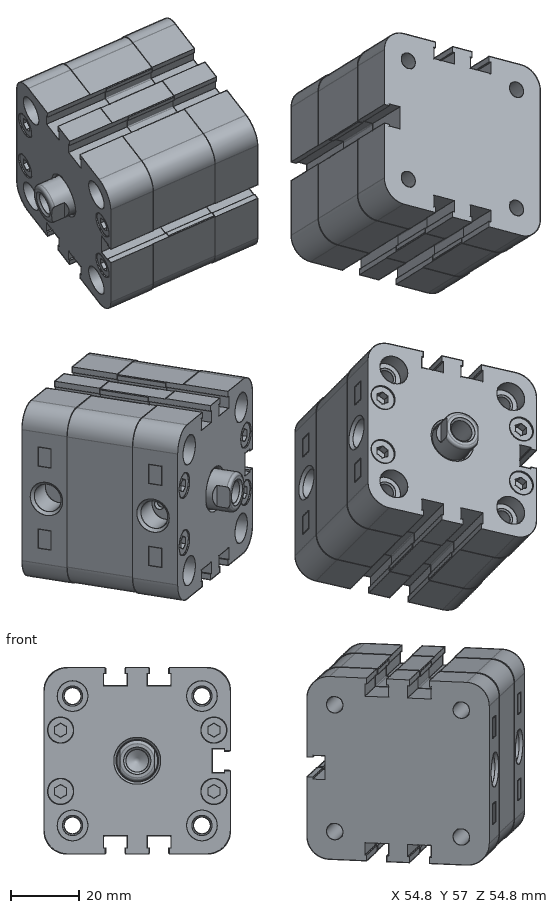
import cadquery as cq
import math

BODY_LENGTH = 50.0
CAP_SIDE = 54.8
CAP_LENGTH = 14.5
TUBE_INSET = 0.15
CORNER_RADIUS = 6.8
TUBE_LENGTH = BODY_LENGTH - 2 * CAP_LENGTH
HALF_SIDE = CAP_SIDE / 2
OVERCUT = 1.0

SLOT_DEPTH = 5.45
SLOT_CAVITY_WIDTH = 7.1
SLOT_LIP = 1.8
SLOT_MOUTH_WIDTH = 6.0
SLOT_OFFSET = 6.4
NARROW_INSET = 0.1
NARROW_MOUTH_WIDTH = 5.5
NARROW_MOUTH_CHAMFER = 0.25
NARROW_CORNER_RADIUS = 0.3
NARROW_LENGTH = 15.6

MOUNT_OFFSET = 19.0
MOUNT_DIAMETER = 4.92
MOUNT_BORE_DIAMETER = 9.0
MOUNT_BORE_DEPTH = 5.0
MOUNT_CHAMFER = 0.5

SCREW_X = 22.5
SCREW_Z = 9.0
SCREW_BORE_DIAMETER = 7.7
SCREW_HEAD_DIAMETER = 7.5
SCREW_HEAD_RECESS = 0.4
SCREW_HEAD_HEIGHT = 4.0
SOCKET_FLATS = 3.5
SOCKET_DEPTH = 2.5
HEXAGON_SIDES = 6
HEXAGON_HALF_ANGLE = 180 / HEXAGON_SIDES

ROD_DIAMETER = 12.0
ROD_PROJECTION = 7.0
ROD_TIP_FILLET = 1.0
ROD_FLATS = 10.0
ROD_FLAT_LENGTH = 4.3
ROD_THREAD_DIAMETER = 6.65
ROD_THREAD_MOUTH = 8.0
ROD_THREAD_DEPTH = 12.0
DRILL_POINT_ANGLE = 118.0
ROD_BORE_DIAMETER = 12.5
ROD_BORE_MOUTH = 13.8
ROD_BORE_DEPTH = 4.0

PORT_INSET = 7.9
PORT_DIAMETER = 8.57
PORT_MOUTH = 10.4
PORT_DEPTH = 9.0
PORT_PASSAGE_DIAMETER = 3.0
PORT_PASSAGE_SHIFT = 2.0
PORT_PASSAGE_DEPTH = 2.0

LABEL_INSET = 7.25
LABEL_LENGTH = 4.1
LABEL_HEIGHT = 6.0
LABEL_Z = 12.9
LABEL_DEPTH = 0.2


def rounded_block(side, y_start, length):
    """Square block with rounded corners, running along +Y from y_start."""
    block = cq.Workplane("XY").box(side, length, side).edges("|Y").fillet(CORNER_RADIUS)
    return block.translate((0, y_start + length / 2, 0))


def y_cylinder(diameter, y_start, length, x=0.0, z=0.0):
    """Cylinder along +Y starting at y_start."""
    base = cq.Vector(x, y_start, z)
    return cq.Workplane(cq.Solid.makeCylinder(diameter / 2, length, base, cq.Vector(0, 1, 0)))


def y_cone(start_diameter, end_diameter, y_start, length, x=0.0, z=0.0):
    """Cone along +Y that changes from start_diameter to end_diameter."""
    base = cq.Vector(x, y_start, z)
    return cq.Workplane(
        cq.Solid.makeCone(start_diameter / 2, end_diameter / 2, length, base, cq.Vector(0, 1, 0))
    )


def slot_box(width, z_bottom, z_top, y_start, length):
    """Box centred on X = 0 that spans the given heights and stretch of Y."""
    box = cq.Workplane("XY").box(width, length, z_top - z_bottom)
    return box.translate((0, y_start + length / 2, (z_bottom + z_top) / 2))


def wide_slot(y_start, length):
    """T-slot cutter open toward +Z."""
    floor_z = HALF_SIDE - SLOT_DEPTH
    cavity = slot_box(SLOT_CAVITY_WIDTH, floor_z, HALF_SIDE - SLOT_LIP, y_start, length)
    return cavity.union(slot_box(SLOT_MOUTH_WIDTH, floor_z, HALF_SIDE + OVERCUT, y_start, length))


def narrow_slot(y_start, length):
    """Slightly tighter T-slot cutter with chamfered lips and rounded floor corners."""
    floor_z = HALF_SIDE - SLOT_DEPTH + NARROW_INSET
    cavity_width = SLOT_CAVITY_WIDTH - 2 * NARROW_INSET
    cavity = slot_box(cavity_width, floor_z, HALF_SIDE - SLOT_LIP, y_start, length)
    cavity = cavity.faces("<Z").edges("|Y").fillet(NARROW_CORNER_RADIUS)
    tube_top = HALF_SIDE - TUBE_INSET
    mouth = slot_box(NARROW_MOUTH_WIDTH, floor_z, tube_top, y_start, length)
    half_mouth = NARROW_MOUTH_WIDTH / 2
    lip_bevel = (
        cq.Workplane("XZ", origin=(0, y_start, 0))
        .moveTo(-half_mouth, tube_top - NARROW_MOUTH_CHAMFER)
        .lineTo(half_mouth, tube_top - NARROW_MOUTH_CHAMFER)
        .lineTo(half_mouth + NARROW_MOUTH_CHAMFER, tube_top)
        .lineTo(-half_mouth - NARROW_MOUTH_CHAMFER, tube_top)
        .close()
        .extrude(-length)
    )
    return cavity.union(mouth).union(lip_bevel)


def slot_cutter():
    """Full-length T-slot that tightens over the rear part of the tube."""
    narrow_end = BODY_LENGTH - CAP_LENGTH
    narrow_start = narrow_end - NARROW_LENGTH
    front = wide_slot(-OVERCUT, narrow_start + OVERCUT)
    rear = wide_slot(narrow_end, CAP_LENGTH + OVERCUT)
    return front.union(narrow_slot(narrow_start, NARROW_LENGTH)).union(rear)


def cut_slots(body):
    """Two slots on the top, two on the bottom and one on the +X side."""
    slot = slot_cutter()
    pair = (-SLOT_OFFSET, SLOT_OFFSET)
    for turn, offsets in ((0, pair), (90, (0,)), (180, pair)):
        for offset in offsets:
            body = body.cut(slot.translate((offset, 0, 0)).rotate((0, 0, 0), (0, 1, 0), turn))
    return body


def cut_mounting_holes(body):
    """Counterbored through holes near the four corners."""
    chamfer_mouth = MOUNT_DIAMETER + 2 * MOUNT_CHAMFER
    for x in (-MOUNT_OFFSET, MOUNT_OFFSET):
        for z in (-MOUNT_OFFSET, MOUNT_OFFSET):
            body = body.cut(y_cylinder(MOUNT_DIAMETER, 0, BODY_LENGTH, x, z))
            body = body.cut(y_cylinder(MOUNT_BORE_DIAMETER, 0, MOUNT_BORE_DEPTH, x, z))
            body = body.cut(
                y_cone(chamfer_mouth, MOUNT_DIAMETER, MOUNT_BORE_DEPTH, MOUNT_CHAMFER, x, z)
            )
    return body


def cut_screws(body):
    """Bore around each screw head, leaving the head below the face, and its hexagon socket."""
    corner_diameter = SOCKET_FLATS / math.cos(math.radians(HEXAGON_HALF_ANGLE))
    socket = cq.Workplane("XZ").polygon(HEXAGON_SIDES, corner_diameter).extrude(-SOCKET_DEPTH)
    socket = socket.rotate((0, 0, 0), (0, 1, 0), HEXAGON_HALF_ANGLE)
    for x in (-SCREW_X, SCREW_X):
        for z in (-SCREW_Z, SCREW_Z):
            ring = y_cylinder(SCREW_BORE_DIAMETER, 0, SCREW_HEAD_RECESS + SCREW_HEAD_HEIGHT, x, z)
            ring = ring.cut(y_cylinder(SCREW_HEAD_DIAMETER, SCREW_HEAD_RECESS, SCREW_HEAD_HEIGHT, x, z))
            body = body.cut(ring).cut(socket.translate((x, SCREW_HEAD_RECESS, z)))
    return body


def cut_rod_bore(body):
    """Clearance bore around the rod with a chamfered mouth."""
    mouth_depth = (ROD_BORE_MOUTH - ROD_BORE_DIAMETER) / 2
    body = body.cut(y_cylinder(ROD_BORE_DIAMETER, 0, ROD_BORE_DEPTH))
    return body.cut(y_cone(ROD_BORE_MOUTH, ROD_BORE_DIAMETER, 0, mouth_depth))


def make_rod():
    """Rod end with rounded tip, two wrench flats."""
    tip = -ROD_PROJECTION
    rod = y_cylinder(ROD_DIAMETER, tip, ROD_PROJECTION + ROD_BORE_DEPTH)
    rod = rod.faces("<Y").edges().fillet(ROD_TIP_FILLET)

    flat_cut = (ROD_DIAMETER - ROD_FLATS) / 2
    flat_end = tip + ROD_FLAT_LENGTH
    flat_x = ROD_FLATS / 2
    wedge = (
        cq.Workplane("XY")
        .moveTo(flat_x, tip)
        .lineTo(flat_x, flat_end)
        .lineTo(flat_x + flat_cut, flat_end + flat_cut)
        .lineTo(flat_x + flat_cut, tip)
        .close()
        .extrude(ROD_DIAMETER / 2, both=True)
    )
    return rod.cut(wedge).cut(wedge.mirror("YZ"))


def cut_rod_thread(part):
    """Blind hole in the rod end with a countersunk mouth and a drill-point bottom."""
    tip = -ROD_PROJECTION
    mouth_depth = (ROD_THREAD_MOUTH - ROD_THREAD_DIAMETER) / 2
    point_length = ROD_THREAD_DIAMETER / 2 / math.tan(math.radians(DRILL_POINT_ANGLE / 2))
    part = part.cut(y_cylinder(ROD_THREAD_DIAMETER, tip, ROD_THREAD_DEPTH))
    part = part.cut(y_cone(ROD_THREAD_MOUTH, ROD_THREAD_DIAMETER, tip, mouth_depth))
    return part.cut(y_cone(ROD_THREAD_DIAMETER, 0, tip + ROD_THREAD_DEPTH, point_length))


def x_cylinder(diameter, x_start, length, y):
    """Cylinder along +X at height Z = 0."""
    base = cq.Vector(x_start, y, 0)
    return cq.Workplane(cq.Solid.makeCylinder(diameter / 2, length, base, cq.Vector(1, 0, 0)))


def cut_ports(body):
    """Chamfered air port in each cap, with a small passage toward the tube."""
    face_x = -HALF_SIDE
    mouth_depth = (PORT_MOUTH - PORT_DIAMETER) / 2
    for y, toward_tube in ((PORT_INSET, 1), (BODY_LENGTH - PORT_INSET, -1)):
        body = body.cut(x_cylinder(PORT_DIAMETER, face_x, PORT_DEPTH, y))
        mouth = cq.Solid.makeCone(
            PORT_MOUTH / 2, PORT_DIAMETER / 2, mouth_depth, cq.Vector(face_x, y, 0), cq.Vector(1, 0, 0)
        )
        body = body.cut(cq.Workplane(mouth))
        passage_y = y + toward_tube * PORT_PASSAGE_SHIFT
        body = body.cut(
            x_cylinder(PORT_PASSAGE_DIAMETER, face_x + PORT_DEPTH, PORT_PASSAGE_DEPTH, passage_y)
        )
    return body


def cut_labels(body):
    """Shallow rectangular panels above and below each port."""
    panel = cq.Workplane("XY").box(LABEL_DEPTH, LABEL_LENGTH, LABEL_HEIGHT)
    panel_x = -HALF_SIDE + LABEL_DEPTH / 2
    for y in (LABEL_INSET, BODY_LENGTH - LABEL_INSET):
        for z in (-LABEL_Z, LABEL_Z):
            body = body.cut(panel.translate((panel_x, y, z)))
    return body


body = rounded_block(CAP_SIDE, 0, CAP_LENGTH)
body = body.union(rounded_block(CAP_SIDE - 2 * TUBE_INSET, CAP_LENGTH, TUBE_LENGTH))
body = body.union(rounded_block(CAP_SIDE, BODY_LENGTH - CAP_LENGTH, CAP_LENGTH))
body = cut_slots(body)
body = cut_mounting_holes(body)
body = cut_screws(body)
body = cut_ports(body)
body = cut_labels(body)
body = cut_rod_bore(body)
body = body.union(make_rod())
result = cut_rod_thread(body)